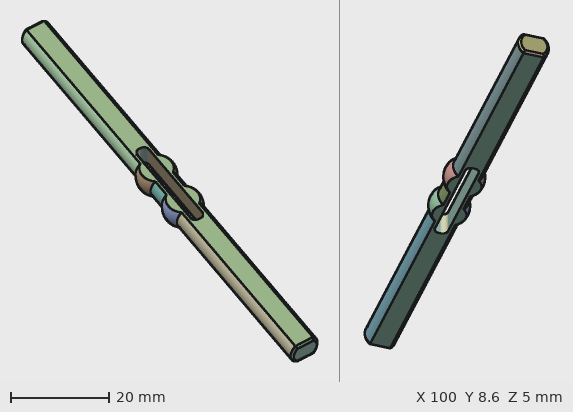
import cadquery as cq

length = 100.0
rod_diameter = 6.6
thickness = 5.0
end_chamfer = 0.5

ball_diameter = 8.6
ball_spacing = 9.7

slot_length = 22.0
slot_width = 2.8
slot_corner_radius = 1.2


def flat_slab():
    """Slab between the two flats, wide enough to hold the balls."""
    return cq.Workplane("XY").box(length, 2 * ball_diameter, thickness)


def flattened_rod():
    rod = cq.Workplane("YZ").circle(rod_diameter / 2).extrude(length / 2, both=True)
    return rod.intersect(flat_slab()).faces("<X or >X").chamfer(end_chamfer)


def flattened_ball(x):
    ball = cq.Workplane("XY").sphere(ball_diameter / 2).translate((x, 0, 0))
    return ball.intersect(flat_slab())


def slot():
    cutter = cq.Workplane("XY").box(slot_length, slot_width, 2 * thickness)
    return cutter.edges("|Z").fillet(slot_corner_radius)


body = flattened_rod()
for side in (-1, 1):
    body = body.union(flattened_ball(side * ball_spacing / 2))

result = body.cut(slot())